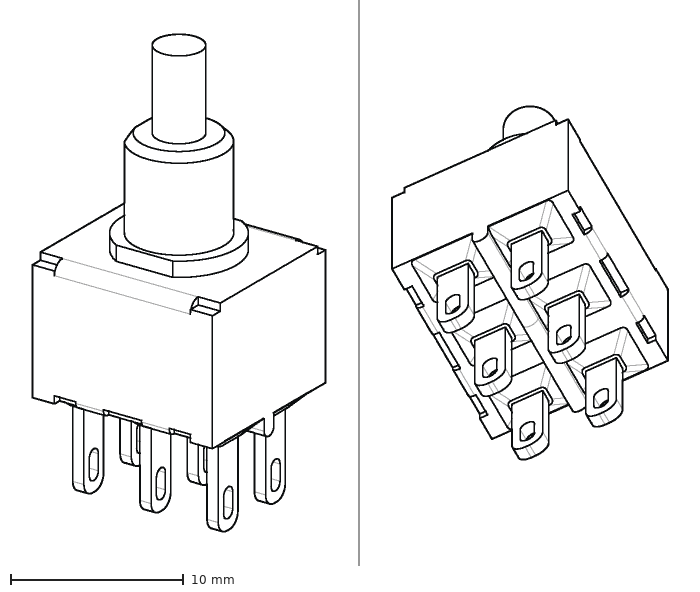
import cadquery as cq
import math

total_height = 28.52
body_length = 12.7
body_width = 11.45
body_bottom = 6.67
body_top = 15.6

strip_length = 9.58
strip_radius = 0.8
corner_step_height = 0.5
notch_height = 0.5
notch_depth = 0.5
tab_width = 1.97
tab_spacing = 4.65
tab_radius = 0.43

flange_diameter = 8.05
flange_across_flats = 7.0
flange_height = 1.03
bushing_diameter = 6.33
bushing_top = 22.95
bushing_chamfer = 0.5
bushing_flat_distance = 2.55
plunger_diameter = 3.1

rib_width = 1.0
rib_bottom = 5.4

terminal_columns = 3
terminal_rows = 2
terminal_pitch_x = 4.73
terminal_pitch_y = 4.8
terminal_thickness = 0.8
terminal_width = 2.0
slot_width = 0.9
slot_length = 2.0
slot_bottom = 0.75
lug_tip_radius = 0.85
housing_wall = 0.23
housing_height = 0.95
housing_taper = 45.0
housing_edge_radius = 0.43


def block(length, width, bottom, top):
    """Box centred on the plunger axis between two heights."""
    return cq.Workplane("XY").workplane(offset=bottom).rect(length, width).extrude(top - bottom)


def make_body():
    """Case with rounded top strips, stepped top corners and notched lower edges."""
    inner_width = body_width - 2 * strip_radius
    middle = block(strip_length, body_width, body_bottom, body_top).edges("|X and >Z").fillet(strip_radius)
    top = block(body_length, inner_width, body_bottom, body_top)
    end_length = (body_length - strip_length) / 2
    end_centre = (strip_length + end_length) / 2
    body = middle.union(top)
    for side in (-1, 1):
        end = block(end_length, body_width, body_bottom, body_top - corner_step_height)
        body = body.union(end.translate((side * end_centre, 0, 0)))

    notched_width = body_width - 2 * notch_depth
    notch = block(strip_length, body_width, body_bottom, body_bottom + notch_height)
    notch = notch.cut(block(strip_length, notched_width, body_bottom, body_bottom + notch_height))
    body = body.cut(notch)

    tab = block(tab_width, body_width, body_bottom, body_bottom + notch_height)
    tab = tab.edges("|X and <Z").fillet(tab_radius)
    for side in (-1, 1):
        body = body.union(tab.translate((side * tab_spacing / 2, 0, 0)))
    return body


def make_actuator():
    """Flange with two flats, bushing with one flat, and the plunger."""
    flange_top = body_top + flange_height
    flange = cq.Workplane("XY").workplane(offset=body_top).circle(flange_diameter / 2).extrude(flange_height)
    flange = flange.intersect(block(flange_diameter, flange_across_flats, body_top, flange_top))

    bushing = cq.Workplane("XY").workplane(offset=flange_top).circle(bushing_diameter / 2)
    bushing = bushing.extrude(bushing_top - flange_top).faces(">Z").chamfer(bushing_chamfer)
    keep = block(bushing_diameter, bushing_diameter, flange_top, bushing_top)
    bushing = bushing.intersect(keep.translate((bushing_diameter / 2 - bushing_flat_distance, 0, 0)))

    plunger = cq.Workplane("XY").workplane(offset=bushing_top).circle(plunger_diameter / 2)
    plunger = plunger.extrude(total_height - bushing_top)
    return flange.union(bushing).union(plunger)


def make_rib():
    """Full-length rib with a round lower edge."""
    rib_radius = rib_width / 2
    rib = block(body_length, rib_width, rib_bottom + rib_radius, body_bottom)
    rounded = cq.Workplane("YZ").center(0, rib_bottom + rib_radius).circle(rib_radius)
    return rib.union(rounded.extrude(body_length / 2, both=True))


def make_terminal():
    """Tapered housing with a round-ended, slotted solder lug."""
    base_margin = housing_wall + housing_height * math.tan(math.radians(housing_taper))
    base_length = terminal_thickness + 2 * base_margin
    base_width = terminal_width + 2 * base_margin
    housing = cq.Workplane("XY").workplane(offset=body_bottom).rect(base_length, base_width)
    housing = housing.extrude(-housing_height, taper=housing_taper)
    housing = housing.edges("not(#Z)").fillet(housing_edge_radius)

    lug = block(terminal_thickness, terminal_width, 0, body_bottom)
    lug = lug.edges("|X and <Z").fillet(lug_tip_radius)
    slot = cq.Workplane("YZ").center(0, slot_bottom + slot_length / 2).slot2D(slot_length, slot_width, 90)
    return housing.union(lug.cut(slot.extrude(terminal_thickness, both=True)))


result = make_body().union(make_actuator()).union(make_rib())
terminal = make_terminal()
for column in range(terminal_columns):
    for row in range(terminal_rows):
        x = (column - (terminal_columns - 1) / 2) * terminal_pitch_x
        y = (row - (terminal_rows - 1) / 2) * terminal_pitch_y
        result = result.union(terminal.translate((x, y, 0)))